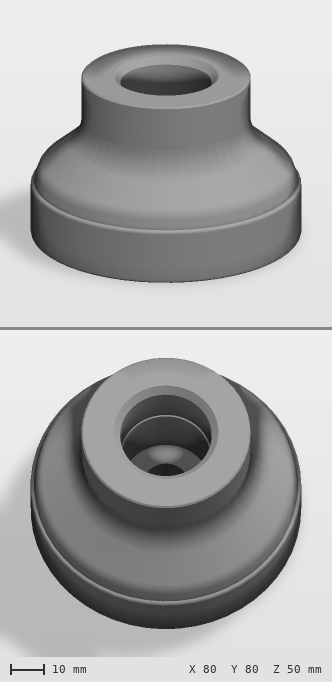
import cadquery as cq
import math

base_diameter = 80.0
base_height = 16.65
base_top_fillet = 1.05
base_bottom_fillet = 0.8

total_height = 50.0
neck_radius = 50.0 / 2
neck_chamfer = 0.5
neck_bottom_z = 36.6
flare_radius = 10.0
flare_angle = 50.0
shoulder_top_radius = 36.6
shoulder_radius = 5.05
skirt_angle = 15.0

hole_diameter = 13.5
bore_diameter = 27.05
lower_bore_diameter = 26.0
bore_chamfer = 2.0
bore_step_z = 35.05


def arc_point(center, radius, angle):
    """Point on an arc, with the angle in degrees from the outward radial direction."""
    turn = math.radians(angle)
    return center[0] + radius * math.cos(turn), center[1] + radius * math.sin(turn)


def make_base():
    disc = cq.Workplane("XY").circle(base_diameter / 2).extrude(base_height)
    disc = disc.faces(">Z").edges().fillet(base_top_fillet)
    disc = disc.faces("<Z").edges().fillet(base_bottom_fillet)
    hole = cq.Workplane("XY").circle(hole_diameter / 2).extrude(base_height)
    return disc.cut(hole)


def make_hub_blank():
    flare_center = (neck_radius + flare_radius, neck_bottom_z)
    flare_middle = arc_point(flare_center, flare_radius, 180 + flare_angle / 2)
    flare_end = arc_point(flare_center, flare_radius, 180 + flare_angle)

    cone_width = shoulder_top_radius - flare_end[0]
    shoulder_top_z = flare_end[1] - cone_width / math.tan(math.radians(flare_angle))
    shoulder_start = (shoulder_top_radius, shoulder_top_z)

    shoulder_center = arc_point(shoulder_start, -shoulder_radius, flare_angle)
    shoulder_middle = arc_point(shoulder_center, shoulder_radius, (flare_angle + skirt_angle) / 2)
    shoulder_end = arc_point(shoulder_center, shoulder_radius, skirt_angle)

    skirt_height = shoulder_end[1] - base_height
    skirt_bottom_radius = shoulder_end[0] + skirt_height * math.tan(math.radians(skirt_angle))

    return (
        cq.Workplane("XZ")
        .moveTo(0, base_height)
        .lineTo(0, total_height)
        .lineTo(neck_radius - neck_chamfer, total_height)
        .lineTo(neck_radius, total_height - neck_chamfer)
        .lineTo(neck_radius, neck_bottom_z)
        .threePointArc(flare_middle, flare_end)
        .lineTo(*shoulder_start)
        .threePointArc(shoulder_middle, shoulder_end)
        .lineTo(skirt_bottom_radius, base_height)
        .close()
        .revolve(360, (0, 0, 0), (0, 1, 0))
    )


def make_bore():
    bore_radius = bore_diameter / 2
    lower_bore_radius = lower_bore_diameter / 2
    return (
        cq.Workplane("XZ")
        .moveTo(0, base_height)
        .lineTo(lower_bore_radius, base_height)
        .lineTo(lower_bore_radius, bore_step_z)
        .lineTo(bore_radius, bore_step_z)
        .lineTo(bore_radius, total_height - bore_chamfer)
        .lineTo(bore_radius + bore_chamfer, total_height)
        .lineTo(0, total_height)
        .close()
        .revolve(360, (0, 0, 0), (0, 1, 0))
    )


base = make_base()
hub = make_hub_blank().cut(make_bore())

result = cq.Compound.makeCompound([base.solids().val(), hub.solids().val()])